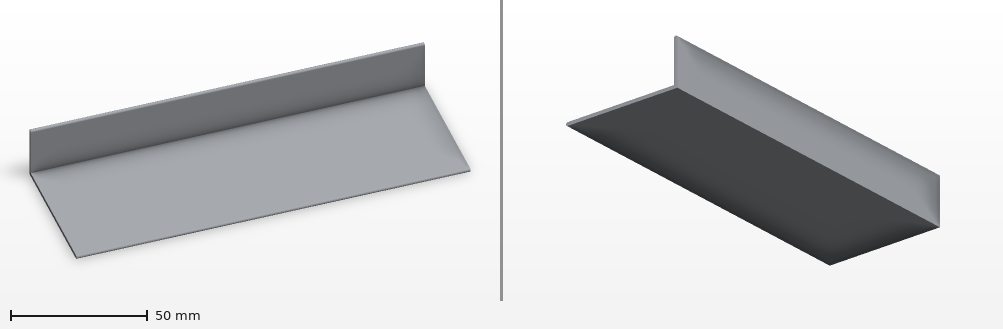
import cadquery as cq

width = 52.3
length = 152.4
height = 21.3

thickness = 1.5
tip_radius = thickness / 2

section = (
    cq.Workplane("XZ")
    .lineTo(width - tip_radius, 0)
    .threePointArc((width, tip_radius), (width - tip_radius, thickness))
    .lineTo(thickness, thickness)
    .lineTo(thickness, height - tip_radius)
    .threePointArc((tip_radius, height), (0, height - tip_radius))
    .close()
)
result = section.extrude(length / 2, both=True)